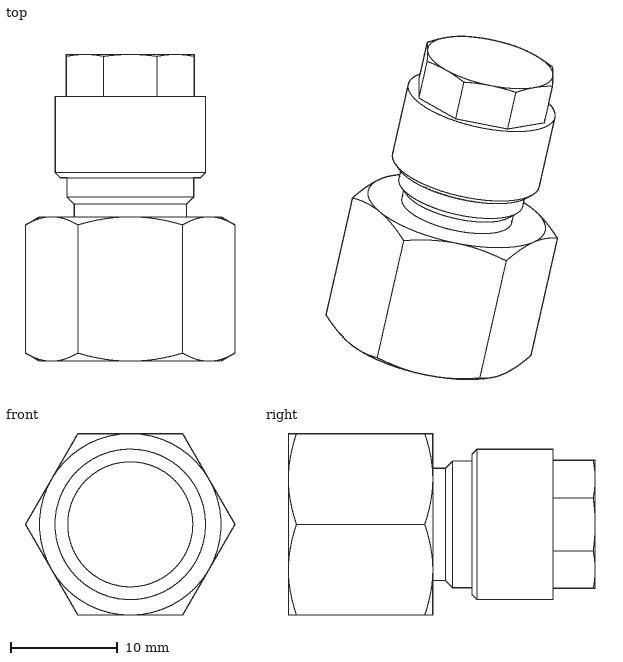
import cadquery as cq
import math

total_length = 28.7

nut_flats = 17.0
nut_length = 13.52
nut_chamfer_angle = 30.0

mouth_diameter = 14.1
bore_diameter = 11.7
mouth_depth = (mouth_diameter - bore_diameter) / 2
bore_floor = 1.85

neck_diameter = 10.53
shoulder_start = 14.7
shoulder_diameter = 11.88
shoulder_chamfer = (shoulder_diameter - neck_diameter) / 2
collar_start = 17.15
collar_diameter = 14.1
collar_chamfer = 0.5
collar_end = 24.77

recess_diameter = 12.75
recess_depth = 2.87

octagon_flats = 12.0
octagon_chamfer_angle = 20.0


def revolve_profile(points):
    """Revolve (radius, Y) points around the Y axis."""
    return cq.Workplane("XY").polyline(points).close().revolve(360, (0, 0, 0), (0, 1, 0))


def prism(sides, flats, start, end, turn):
    """Regular prism along Y, its section turned by an angle in degrees."""
    corner_diameter = flats / math.cos(math.pi / sides)
    body = cq.Workplane("XZ").polygon(sides, corner_diameter).extrude(start - end)
    return body.rotate((0, 0, 0), (0, 1, 0), turn).translate((0, start, 0))


def make_nut():
    """Hexagon with conical corner chamfers tangent to the flats at both ends."""
    flat_radius = nut_flats / 2
    corner_radius = flat_radius / math.cos(math.pi / 6)
    drop = (corner_radius - flat_radius) * math.tan(math.radians(nut_chamfer_angle))
    envelope = revolve_profile([
        (0, 0),
        (flat_radius, 0),
        (corner_radius, drop),
        (corner_radius, nut_length - drop),
        (flat_radius, nut_length),
        (0, nut_length),
    ])
    return prism(6, nut_flats, 0, nut_length, 0).intersect(envelope)


def make_round_body():
    """Neck, shoulder and recessed collar; shoulder and collar have front chamfers."""
    neck_radius = neck_diameter / 2
    shoulder_radius = shoulder_diameter / 2
    collar_radius = collar_diameter / 2
    recess_radius = recess_diameter / 2
    recess_floor = collar_start + recess_depth
    return revolve_profile([
        (0, nut_length),
        (neck_radius, nut_length),
        (neck_radius, shoulder_start),
        (shoulder_radius, shoulder_start + shoulder_chamfer),
        (shoulder_radius, recess_floor),
        (recess_radius, recess_floor),
        (recess_radius, collar_start),
        (collar_radius - collar_chamfer, collar_start),
        (collar_radius, collar_start + collar_chamfer),
        (collar_radius, collar_end),
        (0, collar_end),
    ])


def make_octagon():
    """Octagonal end with its rear corners chamfered down to the flats."""
    flat_radius = octagon_flats / 2
    corner_radius = flat_radius / math.cos(math.pi / 8)
    drop = (corner_radius - flat_radius) * math.tan(math.radians(octagon_chamfer_angle))
    envelope = revolve_profile([
        (0, collar_end),
        (corner_radius, collar_end),
        (corner_radius, total_length - drop),
        (flat_radius, total_length),
        (0, total_length),
    ])
    return prism(8, octagon_flats, collar_end, total_length, 180 / 8).intersect(envelope)


def make_bore():
    """Conical mouth leading into a short flat-bottomed bore."""
    bore_radius = bore_diameter / 2
    return revolve_profile([
        (0, 0),
        (mouth_diameter / 2, 0),
        (bore_radius, mouth_depth),
        (bore_radius, bore_floor),
        (0, bore_floor),
    ])


result = make_nut().union(make_round_body()).union(make_octagon()).cut(make_bore())